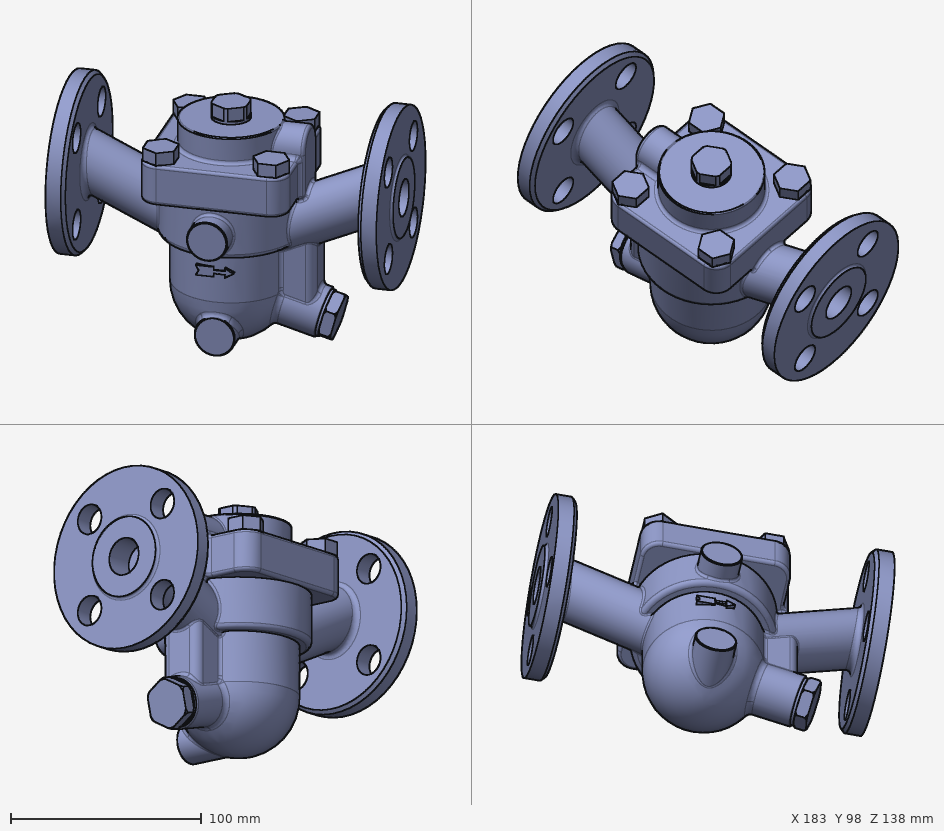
import cadquery as cq
import math


FACE_TO_FACE = 183.0
FLANGE_MID_X = 2.35
FLANGE_DIA = 98.0
FLANGE_THICKNESS = 10.4
FLANGE_CHAMFER = 2.0
RAISED_FACE_DIA = 43.0
RAISED_FACE_HEIGHT = 1.6
RAISED_FACE_FILLET = 1.5
FLANGE_BACK = RAISED_FACE_HEIGHT + FLANGE_THICKNESS
BORE_DIA = 20.0
BORE_DEPTH = 16.0
BOLT_CIRCLE_DIA = 70.0
FLANGE_HOLE_DIA = 16.0
FLANGE_HOLE_COUNT = 4
FIRST_FLANGE_HOLE_ANGLE = 45.0
PIPE_DIA = 32.0
PIPE_SLOPE = 24.5
PIPE_BEND_INSET = 5.0
PIPE_FILLET = 3.0
PIPE_BODY_FILLET = 1.5

NECK_RADIUS = 38.5
NECK_BOTTOM = -29.5
NECK_BOTTOM_FILLET = 3.0
BOWL_RADIUS = 32.2
BOWL_CENTER_Z = -56.8
PLATE_SIDE = 80.0
PLATE_CORNER = 10.0
PLATE_BOTTOM = -2.0
PLATE_FILLET = 2.0

COVER_TOP = 20.6
COVER_EDGE_FILLET = 1.6
DOME_DIA = 56.0
DOME_TOP = 35.5
DOME_TOP_FILLET = 0.7
DOME_BASE_FILLET = 2.0
DOME_RIB_FILLET = 1.0
RIB_WIDTH = 24.4
RIB_TOP = 35.3
RIB_END_X = 43.0
RIB_END_FILLET = 2.0
RIB_BASE_FILLET = 3.0
BOLT_HEAD_FLATS = 17.0
BOLT_HEAD_HEIGHT = 7.3
BOLT_OFFSET = PLATE_SIDE / 2 - PLATE_CORNER

PLUG_FLATS = 19.2
PLUG_DIA = 21.0
PLUG_TOP = 44.5
PLUG_COLLAR_HEIGHT = 1.6

BOSS_DIA = 22.0
BOSS_END_CHAMFER = 0.5
UPPER_BOSS_Z = -15.8
UPPER_BOSS_END_Y = -48.3
UPPER_BOSS_ROOT_FILLET = 1.5
LOWER_BOSS_Z = -76.5
LOWER_BOSS_END_Y = -33.0
LOWER_BOSS_ROOT_FILLET = 3.0

STRAINER_SLOPE = 15.0
STRAINER_DIA = 28.0
STRAINER_LENGTH = 52.3
STRAINER_END_FILLET = 0.5
STRAINER_ROOT_FILLET = 4.0
STRAINER_COLLAR_DIA = 26.0
STRAINER_HEX_FLATS = 24.0
STRAINER_HEX_CHAMFER = 1.0
STRAINER_HEX_START = 54.0
STRAINER_HEX_END = 60.8
PASSAGE_WIDTH = 24.0
PASSAGE_END_X = 48.6
PASSAGE_ROOT_FILLET = 2.5
PASSAGE_CORNER = 5.0
PASSAGE_TOP = -20.0

ARROW_Z = -39.4
ARROW_RELIEF_Y = -33.0
ARROW_HALF_LENGTH = 10.2
ARROW_HALF_HEIGHT = 2.8
ARROW_SHAFT_HALF_HEIGHT = 1.0
ARROW_TAIL_END_X = -0.5
ARROW_HEAD_START_X = 5.7
ARROW_NOTCH = 1.5


def cylinder_z(diameter, bottom, top):
    return cq.Workplane("XY").workplane(offset=bottom).circle(diameter / 2).extrude(top - bottom)


def fuse_with_fillet(base, added, radius):
    """Union of two solids with a fillet along the curve where their surfaces meet."""
    tolerance = 1e-3
    joined = base.union(added)
    shells = [solid.shells().val() for solid in (added, base)]
    meeting = []
    for edge in joined.edges().vals():
        middle = edge.positionAt(0.5)
        probe = cq.Vertex.makeVertex(middle.x, middle.y, middle.z)
        if all(probe.distance(shell) < tolerance for shell in shells):
            meeting.append(edge)
    return joined.newObject(meeting).fillet(radius)


def hex_prism(flats, height, turn=0.0):
    """Hexagonal prism standing on Z = 0, corners on the X axis before turning."""
    corners = flats / math.cos(math.radians(30))
    return cq.Workplane("XY").polygon(6, corners).extrude(height).rotate((0, 0, 0), (0, 0, 1), turn)


def disc_x(diameter, start, thickness):
    return cq.Workplane("YZ").workplane(offset=start).circle(diameter / 2).extrude(thickness)


def sloping_pipe():
    """Pipe leaving the flange towards +X and downwards, trimmed square inside the flange."""
    slope = math.radians(PIPE_SLOPE)
    axis = cq.Vector(math.cos(slope), 0, -math.sin(slope))
    bend = cq.Vector(FLANGE_BACK + PIPE_BEND_INSET, 0, 0)
    run = (FACE_TO_FACE / 2 - bend.x) / math.cos(slope)
    lead = PIPE_DIA
    pipe = cq.Workplane(cq.Solid.makeCylinder(PIPE_DIA / 2, lead + run, bend - axis * lead, axis))
    return pipe.cut(disc_x(FLANGE_DIA, FLANGE_BACK / 2, -FLANGE_DIA))


def end_connection():
    """Flange with its pipe for the -X side, raised face at X = 0, flange body towards +X."""
    flange = disc_x(FLANGE_DIA, RAISED_FACE_HEIGHT, FLANGE_THICKNESS).faces(">X").chamfer(FLANGE_CHAMFER)
    joined = fuse_with_fillet(flange, sloping_pipe(), PIPE_FILLET)
    raised_face = disc_x(RAISED_FACE_DIA, 0, FLANGE_BACK / 2)
    joined = fuse_with_fillet(joined, raised_face, RAISED_FACE_FILLET)
    bolt_holes = (
        cq.Workplane("YZ").polarArray(BOLT_CIRCLE_DIA / 2, FIRST_FLANGE_HOLE_ANGLE, 360, FLANGE_HOLE_COUNT)
        .circle(FLANGE_HOLE_DIA / 2).extrude(FLANGE_BACK)
    )
    return joined.cut(bolt_holes).cut(disc_x(BORE_DIA, 0, BORE_DEPTH))


def place_end(shape, side):
    """Move an end connection to the inlet (side -1) or mirror it to the outlet (side 1)."""
    moved = shape.translate((-FACE_TO_FACE / 2, 0, 0))
    if side > 0:
        moved = moved.mirror("YZ")
    return moved.translate((FLANGE_MID_X, 0, 0))


def body_core():
    """Wide neck above a bowl with a hemispherical bottom."""
    neck = cylinder_z(2 * NECK_RADIUS, NECK_BOTTOM, COVER_TOP / 2)
    neck = neck.faces("<Z").edges().fillet(NECK_BOTTOM_FILLET)
    bowl = cylinder_z(2 * BOWL_RADIUS, BOWL_CENTER_Z, 0)
    bowl_end = cq.Workplane("XY").sphere(BOWL_RADIUS).translate((0, 0, BOWL_CENTER_Z))
    return neck.union(bowl).union(bowl_end)


def cover_rib():
    """Round-topped passage from the dome out over the +X side of the plates."""
    radius = RIB_WIDTH / 2
    shoulder = RIB_TOP - radius
    return (
        cq.Workplane("YZ").moveTo(-radius, PLATE_BOTTOM).lineTo(-radius, shoulder)
        .threePointArc((0, RIB_TOP), (radius, shoulder)).lineTo(radius, PLATE_BOTTOM).close()
        .extrude(RIB_END_X).faces(">X").edges("not <Z").fillet(RIB_END_FILLET)
    )


def dome():
    """Round cap of the cover with a flared foot."""
    radius = DOME_DIA / 2
    foot = DOME_BASE_FILLET
    reach = foot * (1 - math.sqrt(0.5))
    return (
        cq.Workplane("XZ").moveTo(0, PLATE_BOTTOM).lineTo(radius + foot, PLATE_BOTTOM)
        .lineTo(radius + foot, COVER_TOP)
        .threePointArc((radius + reach, COVER_TOP + reach), (radius, COVER_TOP + foot))
        .lineTo(radius, DOME_TOP).lineTo(0, DOME_TOP).close()
        .revolve(360, (0, 0, 0), (0, 1, 0)).faces(">Z").edges().fillet(DOME_TOP_FILLET)
    )


def cover():
    """Square body plate and cover plate in one block, with the passage rib and the dome."""
    plate = (
        cq.Workplane("XY").workplane(offset=PLATE_BOTTOM).rect(PLATE_SIDE, PLATE_SIDE)
        .extrude(COVER_TOP - PLATE_BOTTOM).edges("|Z").fillet(PLATE_CORNER)
        .faces(">Z").edges().fillet(COVER_EDGE_FILLET)
    )
    block = fuse_with_fillet(plate, cover_rib(), RIB_BASE_FILLET)
    block = block.faces("<Z").edges().fillet(PLATE_FILLET)
    return fuse_with_fillet(block, dome(), DOME_RIB_FILLET)


def cover_bolts():
    """Four bolt heads, alternating between two orientations."""
    heads = []
    for x_side in (-1, 1):
        for y_side in (-1, 1):
            turn = 30 if x_side == y_side else 0
            head = hex_prism(BOLT_HEAD_FLATS, BOLT_HEAD_HEIGHT, turn)
            heads.append(head.translate((x_side * BOLT_OFFSET, y_side * BOLT_OFFSET, COVER_TOP)))
    return heads


def cover_plug():
    """Hex plug on the dome, corners turned down to the collar diameter."""
    collar_top = DOME_TOP + PLUG_COLLAR_HEIGHT
    collar = cylinder_z(PLUG_DIA, DOME_TOP, collar_top)
    head = hex_prism(PLUG_FLATS, PLUG_TOP - collar_top, 30).translate((0, 0, collar_top))
    return collar.union(head.intersect(cylinder_z(PLUG_DIA, collar_top, PLUG_TOP)))


def front_boss(z, end_y):
    """Round boss on the -Y side, from the body axis out to end_y."""
    return (
        cq.Workplane("XZ").center(0, z).circle(BOSS_DIA / 2).extrude(-end_y)
        .faces("<Y").edges().chamfer(BOSS_END_CHAMFER)
    )


def along_strainer(shape):
    """Turn a shape built along +Z onto the sloping strainer axis."""
    return shape.rotate((0, 0, 0), (0, 1, 0), 90 + STRAINER_SLOPE).translate((0, 0, BOWL_CENTER_Z))


def strainer_boss():
    boss = cylinder_z(STRAINER_DIA, 0, STRAINER_LENGTH).faces(">Z").edges().fillet(STRAINER_END_FILLET)
    return along_strainer(boss)


def strainer_plug():
    """Collar and hex head closing the strainer boss."""
    collar = cylinder_z(STRAINER_COLLAR_DIA, STRAINER_LENGTH, STRAINER_HEX_START)
    head_height = STRAINER_HEX_END - STRAINER_HEX_START
    corners = STRAINER_HEX_FLATS / math.cos(math.radians(30))
    rounding = cylinder_z(corners, 0, head_height).edges().chamfer(STRAINER_HEX_CHAMFER)
    head = hex_prism(STRAINER_HEX_FLATS, head_height).intersect(rounding)
    return along_strainer(collar.union(head.translate((0, 0, STRAINER_HEX_START))))


def passage_rib():
    """Upright rib joining the outlet pipe and the strainer boss."""
    drop = PASSAGE_END_X * math.tan(math.radians(STRAINER_SLOPE))
    height = PASSAGE_TOP - BOWL_CENTER_Z + drop
    return (
        cq.Workplane("XY").box(PASSAGE_END_X, PASSAGE_WIDTH, height, centered=(False, True, False))
        .translate((0, 0, BOWL_CENTER_Z - drop)).edges("|Z and >X").fillet(PASSAGE_CORNER)
    )


def flow_arrow():
    """Raised arrow on the -Y side, pointing to the outlet."""
    upper = [
        (-ARROW_HALF_LENGTH + ARROW_NOTCH, 0),
        (-ARROW_HALF_LENGTH, ARROW_HALF_HEIGHT),
        (ARROW_TAIL_END_X, ARROW_HALF_HEIGHT),
        (ARROW_TAIL_END_X, ARROW_SHAFT_HALF_HEIGHT),
        (ARROW_HEAD_START_X, ARROW_SHAFT_HALF_HEIGHT),
        (ARROW_HEAD_START_X, ARROW_HALF_HEIGHT),
        (ARROW_HALF_LENGTH, 0),
    ]
    lower = [(x, -z) for x, z in reversed(upper[1:-1])]
    return (
        cq.Workplane("XZ").center(0, ARROW_Z).polyline(upper + lower).close()
        .extrude(-ARROW_RELIEF_Y)
    )


connection = end_connection()
upper_boss = front_boss(UPPER_BOSS_Z, UPPER_BOSS_END_Y)
lower_boss = front_boss(LOWER_BOSS_Z, LOWER_BOSS_END_Y)
casting = body_core().union(cover())
casting = fuse_with_fillet(casting, lower_boss, LOWER_BOSS_ROOT_FILLET)
casting = fuse_with_fillet(casting, strainer_boss(), STRAINER_ROOT_FILLET)
casting = fuse_with_fillet(casting, passage_rib(), PASSAGE_ROOT_FILLET)
for side in (-1, 1):
    casting = fuse_with_fillet(casting, place_end(connection, side), PIPE_BODY_FILLET)
casting = fuse_with_fillet(casting, upper_boss, UPPER_BOSS_ROOT_FILLET)

result = casting.union(flow_arrow()).union(cover_plug()).union(strainer_plug())
for bolt_head in cover_bolts():
    result = result.union(bolt_head)